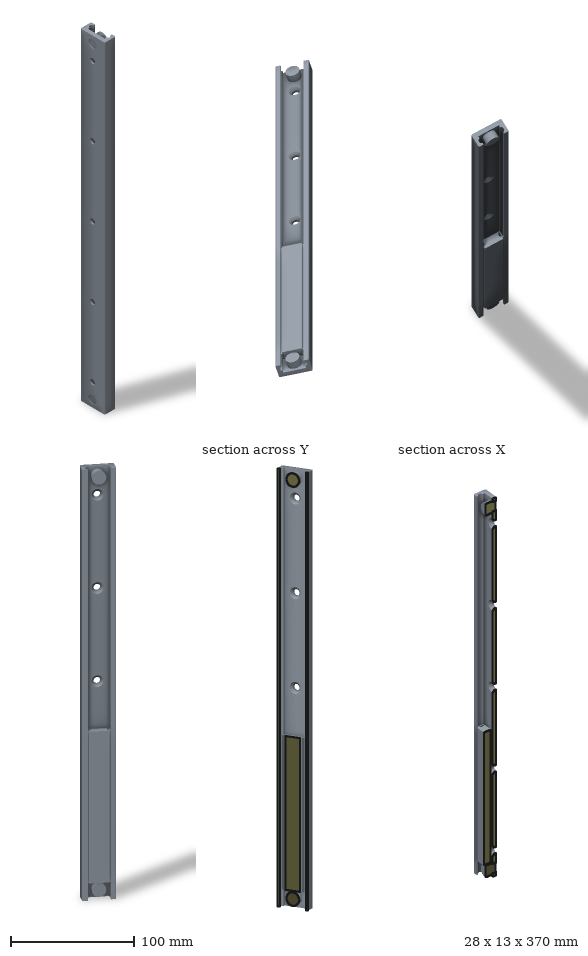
import cadquery as cq

overall_depth = 13.0

rail_length = 370.0
rail_width = 28.0
floor_thickness = 4.0
channel_width = 19.2
edge_radius = 1.07

track_spacing = 18.5
track_height = 8.5
track_radius = 2.4

mount_hole_diameter = 5.5
countersink_diameter = 10.0
mount_hole_count = 5
mount_hole_pitch = 80.0

stop_inset = 8.0
stud_diameter = 9.0
stud_recess = 0.7
buffer_diameter = 12.0
buffer_height = 7.0

slider_length = 130.2
slider_width = 17.0
slider_depth = 7.5
slider_protrusion = 0.55
slider_edge_radius = 0.55
slider_end_gap = 0.7

cage_thickness = 0.7
cage_depth = 6.0

rail_depth = overall_depth - slider_protrusion
rail_back_y = -overall_depth / 2
floor_y = rail_back_y + floor_thickness
track_y = rail_back_y + track_height
slider_back_y = overall_depth / 2 - slider_depth
countersink_depth = (countersink_diameter - mount_hole_diameter) / 2
stop_z = rail_length / 2 - stop_inset
stop_places = (-stop_z, stop_z)
slider_bottom_z = -stop_z + buffer_diameter / 2 + slider_end_gap
slider_mid_z = slider_bottom_z + slider_length / 2
cage_x = (channel_width + slider_width) / 4


def bar(width, back_y, depth, length, mid_z=0):
    """A rectangular bar along Z, centred on X, with its back face at back_y."""
    return cq.Workplane("XY").box(width, depth, length).translate((0, back_y + depth / 2, mid_z))


def post(diameter, back_y, height, z):
    """A round post standing along +Y from back_y."""
    plane = cq.Plane(origin=(0, back_y, z), xDir=(0, 0, 1), normal=(0, 1, 0))
    return cq.Workplane(plane).circle(diameter / 2).extrude(height)


def ball_tracks():
    """Two full-length round bars along Z, the space that the balls run in."""
    return (
        cq.Workplane("XY", origin=(0, track_y, -rail_length / 2))
        .pushPoints([(-track_spacing / 2, 0), (track_spacing / 2, 0)])
        .circle(track_radius)
        .extrude(rail_length)
    )


def mount_hole(z):
    """A through hole in the rail floor, countersunk from inside the channel."""
    hole = post(mount_hole_diameter, rail_back_y, floor_thickness, z)
    countersink = cq.Solid.makeCone(
        countersink_diameter / 2,
        mount_hole_diameter / 2,
        countersink_depth,
        pnt=cq.Vector(0, floor_y, z),
        dir=cq.Vector(0, -1, 0),
    )
    return hole.union(cq.Workplane(countersink))


def make_rail():
    body = bar(rail_width, rail_back_y, rail_depth, rail_length).edges("|Z").fillet(edge_radius)
    body = body.cut(bar(channel_width, floor_y, rail_depth, rail_length))
    body = body.cut(ball_tracks())
    for i in range(mount_hole_count):
        body = body.cut(mount_hole((i - (mount_hole_count - 1) / 2) * mount_hole_pitch))
    for z in stop_places:
        body = body.cut(post(stud_diameter, rail_back_y, floor_thickness, z))
    return body


def make_end_stop(z):
    stud = post(stud_diameter, rail_back_y + stud_recess, floor_thickness - stud_recess, z)
    buffer = post(buffer_diameter, floor_y, buffer_height, z)
    return stud.union(buffer)


def make_slider():
    body = bar(slider_width, slider_back_y, slider_depth, slider_length, slider_mid_z)
    body = body.edges("|Z and >Y").fillet(slider_edge_radius)
    return body.cut(ball_tracks())


def make_cage(x):
    strip = cq.Workplane("XY").box(cage_thickness, cage_depth, slider_length)
    return strip.translate((x, track_y, slider_mid_z))


rail = make_rail()
slider = make_slider()
end_stops = [make_end_stop(z).val() for z in stop_places]
cages = [make_cage(x).val() for x in (-cage_x, cage_x)]

result = cq.Compound.makeCompound([rail.val(), slider.val(), *end_stops, *cages])